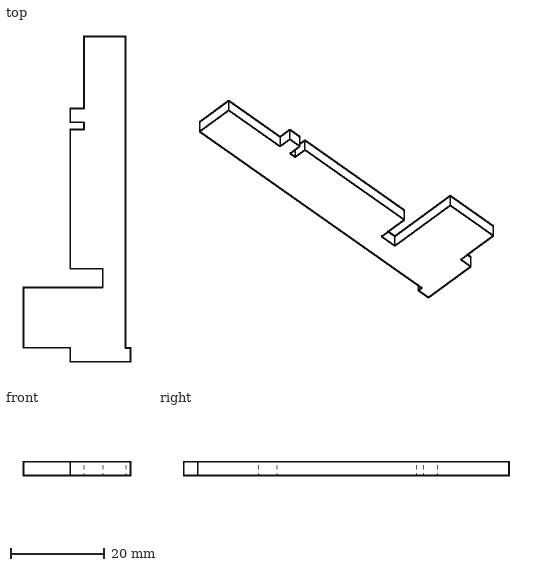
import cadquery as cq

width = 23.0
length = 70.0
thickness = 3.0

blade_left = 10.0
tip_left = 13.0
arm_slot_end = 17.0
blade_right = 22.0

foot_top = 3.0
arm_top = 16.0
arm_slot_top = 20.0
notch_bottom = 50.0
notch_top = 51.5
tooth_top = 54.5

outline = [
    (blade_left, 0),
    (width, 0),
    (width, foot_top),
    (blade_right, foot_top),
    (blade_right, length),
    (tip_left, length),
    (tip_left, tooth_top),
    (blade_left, tooth_top),
    (blade_left, notch_top),
    (tip_left, notch_top),
    (tip_left, notch_bottom),
    (blade_left, notch_bottom),
    (blade_left, arm_slot_top),
    (arm_slot_end, arm_slot_top),
    (arm_slot_end, arm_top),
    (0, arm_top),
    (0, foot_top),
    (blade_left, foot_top),
]

result = cq.Workplane("XY").polyline(outline).close().extrude(thickness)